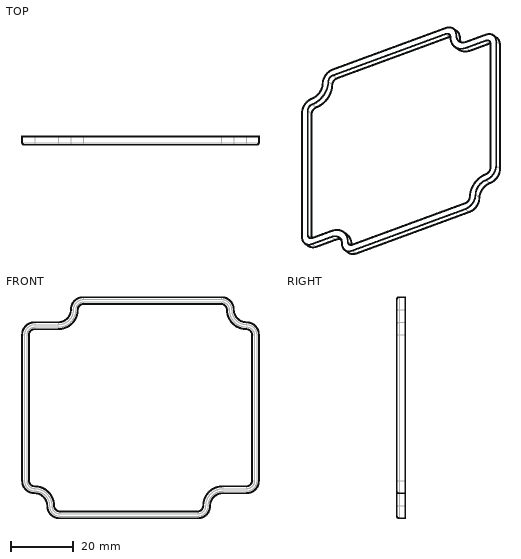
import cadquery as cq
import math

length = 75.65
height = 70.65
depth = 2.7

band_width = 2.3
front_fillet = 0.75

bend_radius = 4.0
ledge_length = 7.6

half_length = length / 2
half_height = height / 2
half_depth = depth / 2
side_center_x = half_length - bend_radius
top_center_z = half_height - bend_radius
step_center_z = top_center_z - 2 * bend_radius
right_top_x = side_center_x - 2 * bend_radius
left_top_x = -(right_top_x - ledge_length)


def bend_middle(center, x_sign, z_sign, radius):
    """Middle of a quarter arc, in the quadrant given by the two signs."""
    reach = radius * math.cos(math.pi / 4)
    return (center[0] + x_sign * reach, center[1] + z_sign * reach)


def ring_outline(offset):
    """Closed outline lying a distance inside the outer edge, on the back face."""
    convex = bend_radius - offset
    concave = bend_radius + offset
    left = -half_length + offset
    top = half_height - offset
    step_z = step_center_z + convex
    left_neck_x = left_top_x - convex
    right_neck_x = right_top_x + convex

    side_left = (-side_center_x, step_center_z)
    notch_left = (left_top_x - 2 * bend_radius, top_center_z)
    top_left = (left_top_x, top_center_z)
    top_right = (right_top_x, top_center_z)
    notch_right = (side_center_x, top_center_z)
    side_right = (side_center_x, step_center_z)

    half_path = [
        ((left, step_center_z),),
        (bend_middle(side_left, -1, 1, convex), (-side_center_x, step_z)),
        ((notch_left[0], step_z),),
        (bend_middle(notch_left, 1, -1, concave), (left_neck_x, top_center_z)),
        (bend_middle(top_left, -1, 1, convex), (left_top_x, top)),
        ((right_top_x, top),),
        (bend_middle(top_right, 1, 1, convex), (right_neck_x, top_center_z)),
        (bend_middle(notch_right, -1, -1, concave), (side_center_x, step_z)),
        (bend_middle(side_right, 1, 1, convex), (-left, step_center_z)),
    ]

    outline = cq.Workplane("XZ", origin=(0, half_depth, 0)).moveTo(left, -step_center_z)
    for turn in (1, -1):
        for segment in half_path:
            points = [(turn * x, turn * z) for x, z in segment]
            if len(points) == 1:
                outline = outline.lineTo(*points[0])
            else:
                outline = outline.threePointArc(*points)
    return outline.close()


outer_body = ring_outline(0).extrude(depth)
opening = ring_outline(band_width).extrude(depth)
ring = outer_body.cut(opening)

result = ring.faces("<Y").edges().fillet(front_fillet)